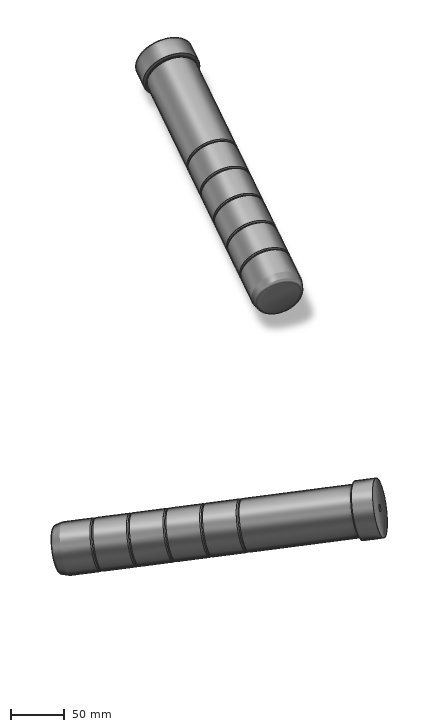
import cadquery as cq
import math

length = 310.0
head_diameter = 56.0
head_length = 20.0
shaft_radius = 25.0

relief_end = 21.7
relief_depth = 1.0

groove_count = 5
first_groove = 130.0
groove_pitch = 35.0
groove_width = 2.8
groove_depth = 0.5

nose_start = 300.0
tip_start = 306.5
nose_angle = math.radians(15)

countersink_diameter = 6.8
pilot_diameter = 3.0
pilot_depth = 8.0
countersink_half_angle = math.radians(30)


def make_body():
    """Revolve the stepped outline around the X axis."""
    relief_radius = shaft_radius - relief_depth
    tip_edge_radius = shaft_radius - (tip_start - nose_start) * math.tan(nose_angle)
    tip_radius = (length - tip_start) / (1 - math.sin(nose_angle))
    end_radius = tip_edge_radius - tip_radius * math.cos(nose_angle)
    return (
        cq.Workplane("XY")
        .lineTo(0, head_diameter / 2)
        .lineTo(head_length, head_diameter / 2)
        .lineTo(head_length, relief_radius)
        .lineTo(relief_end, relief_radius)
        .lineTo(relief_end, shaft_radius)
        .lineTo(nose_start, shaft_radius)
        .lineTo(tip_start, tip_edge_radius)
        .tangentArcPoint((length, end_radius), relative=False)
        .lineTo(length, 0)
        .close()
        .revolve(360, (0, 0, 0), (1, 0, 0))
    )


def make_groove(center_x):
    """Ring with a V-shaped section that cuts one lubrication groove."""
    half_width = groove_width / 2
    return (
        cq.Workplane("XY")
        .moveTo(center_x - half_width, shaft_radius)
        .lineTo(center_x, shaft_radius - groove_depth)
        .lineTo(center_x + half_width, shaft_radius)
        .lineTo(center_x + half_width, head_diameter / 2)
        .lineTo(center_x - half_width, head_diameter / 2)
        .close()
        .revolve(360, (0, 0, 0), (1, 0, 0))
    )


def make_center_hole():
    """Countersunk pilot hole with a flat bottom, entering at X = 0."""
    sink_radius = countersink_diameter / 2
    pilot_radius = pilot_diameter / 2
    sink_depth = (sink_radius - pilot_radius) / math.tan(countersink_half_angle)
    return (
        cq.Workplane("XY")
        .lineTo(0, sink_radius)
        .lineTo(sink_depth, pilot_radius)
        .lineTo(pilot_depth, pilot_radius)
        .lineTo(pilot_depth, 0)
        .close()
        .revolve(360, (0, 0, 0), (1, 0, 0))
    )


result = make_body()
for index in range(groove_count):
    result = result.cut(make_groove(first_groove + index * groove_pitch))
result = result.cut(make_center_hole())